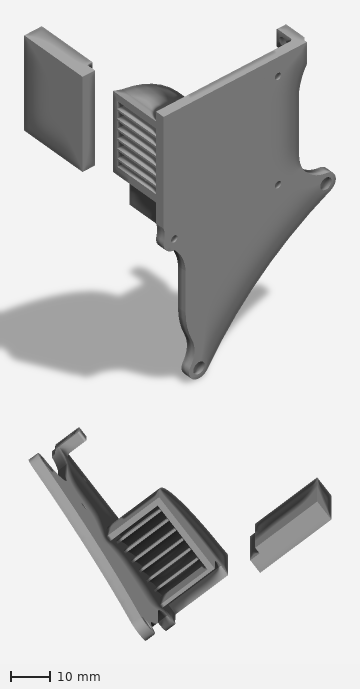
import cadquery as cq
import math


plate_thickness = 3.0
plate_height = 90.5
plate_depth = 49.2
waist_y = 45.8
waist_top_z = 75.9
waist_bulge = (46.95, 80.4)
neck_y = 7.4
neck_bottom_z = 23.5
neck_top_z = 36.9
neck_bulge = (6.4, 41.4)

ear_radius = 3.35
ear_hole_diameter = 3.8
ear_seat_diameter = 4.0
ear_seat_depth = 2.0
rear_ear = (54.8, 41.4)
foot_ear = (11.9, ear_radius)

screw_hole_diameter = 2.2
screw_pitch = 35.0
screw_boss_radius = 3.6
screw_corner = (screw_boss_radius, 49.2)

waist_fillet = 10.4
belly_radius = 105.85
shin_radius = 23.9
ankle_radius = 8.9
relief_top_z = 54.3
relief_mid = (0.4, 51.9)
relief_end_z = 50.1

lug_reach = 6.5
lug_thickness = plate_thickness
lug_height = 6.0
lug_root_fillet = 1.0
lug_end_fillet = 0.6
lug_hole_diameter = 3.0
lug_hole_x = -3.9
lug_step = 0.8
lug_step_x = 1.2
lug_step_height = 9.05

duct_width = 16.9
bend_y = -1.0
bend_z = 56.45
duct_outer_radius = 30.1
duct_inner_radius = 6.6
outer_wall = 1.5
side_wall = 1.6
inner_wall = 1.0
inlet_z = 47.7
outlet_bottom_z = 61.1
outlet_top_z = 87.3
flare_depth = 3.0

vane_count = 6
vane_thickness = 0.6
vane_gap = 2.5
vane_tail = 1.2

block_width = 23.0
block_min_x = -47.0
block_min_y = -4.2
block_thickness = 6.0
block_bottom_z = 59.0
block_height = 30.8
rebate_width = 3.0
rebate_depth = block_min_y + block_thickness


def toward(start, target, distance):
    """Point at a distance from start on the line to target."""
    angle = math.atan2(target[1] - start[1], target[0] - start[0])
    return (start[0] + distance * math.cos(angle), start[1] + distance * math.sin(angle))


def midpoint(a, b):
    return ((a[0] + b[0]) / 2, (a[1] + b[1]) / 2)


def tangent_center(first, first_distance, second, second_distance):
    """Point at the given distances from two points, to the right of the way from first to second."""
    gap = math.dist(first, second)
    turn = math.acos((first_distance**2 + gap**2 - second_distance**2) / (2 * first_distance * gap))
    heading = math.atan2(second[1] - first[1], second[0] - first[0]) - turn
    return (
        first[0] + first_distance * math.cos(heading),
        first[1] + first_distance * math.sin(heading),
    )


def arc_to(profile, center, radius, start, end):
    """Add the shorter arc about center from start, where the profile stands, to end."""
    return profile.threePointArc(toward(center, midpoint(start, end), radius), end)


def bend_point(radius, y):
    """Point above the bend centre on a circle about it."""
    return (y, bend_z + math.sqrt(radius**2 - (y - bend_y) ** 2))


def quarter_mid(radius):
    """Point halfway round the bend on a circle about its centre."""
    half_turn = math.radians(45)
    return (bend_y + radius * math.cos(half_turn), bend_z + radius * math.sin(half_turn))


def prism(profile, x_start, x_end):
    """Closed YZ profile extruded between two X positions."""
    return profile.close().extrude(x_end - x_start).translate((x_start, 0, 0))


def plate_blank():
    lug_bottom = (plate_depth, plate_height - lug_height)
    waist_top = (waist_y, waist_top_z)

    fillet_y = waist_y + waist_fillet
    fillet_rise = math.sqrt((waist_fillet + ear_radius) ** 2 - (fillet_y - rear_ear[0]) ** 2)
    fillet_center = (fillet_y, rear_ear[1] + fillet_rise)
    fillet_start = (waist_y, fillet_center[1])
    fillet_end = toward(fillet_center, rear_ear, waist_fillet)

    belly_reach = belly_radius + ear_radius
    belly_center = tangent_center(foot_ear, belly_reach, rear_ear, belly_reach)
    belly_start = toward(belly_center, rear_ear, belly_radius)
    belly_end = toward(belly_center, foot_ear, belly_radius)

    shin_center = (neck_y + shin_radius, neck_bottom_z)
    ankle_center = tangent_center(
        shin_center, shin_radius + ankle_radius, foot_ear, ear_radius + ankle_radius
    )
    ankle_start = toward(ankle_center, foot_ear, ankle_radius)
    shin_start = toward(ankle_center, shin_center, ankle_radius)
    neck_bottom = (neck_y, neck_bottom_z)
    neck_top = (neck_y, neck_top_z)

    boss_bottom = (screw_corner[0], screw_corner[1] - screw_boss_radius)
    boss_side = toward(screw_corner, (0, relief_end_z), screw_boss_radius)

    profile = cq.Workplane("YZ").moveTo(0, plate_height).lineTo(plate_depth, plate_height)
    profile = profile.lineTo(*lug_bottom).threePointArc(waist_bulge, waist_top)
    profile = profile.lineTo(*fillet_start)
    profile = arc_to(profile, fillet_center, waist_fillet, fillet_start, fillet_end)
    profile = profile.threePointArc((rear_ear[0] + ear_radius, rear_ear[1]), belly_start)
    profile = arc_to(profile, belly_center, belly_radius, belly_start, belly_end)
    profile = profile.threePointArc((foot_ear[0], 0), ankle_start)
    profile = arc_to(profile, ankle_center, ankle_radius, ankle_start, shin_start)
    profile = arc_to(profile, shin_center, shin_radius, shin_start, neck_bottom)
    profile = profile.lineTo(*neck_top).threePointArc(neck_bulge, boss_bottom)
    profile = arc_to(profile, screw_corner, screw_boss_radius, boss_bottom, boss_side)
    profile = profile.threePointArc(relief_mid, (0, relief_top_z))
    return prism(profile, 0, plate_thickness)


def plate_holes():
    y, z = screw_corner
    screws = [(y, z), (y + screw_pitch, z), (y + screw_pitch, z + screw_pitch)]
    plane = cq.Workplane("YZ")
    small = plane.pushPoints(screws).circle(screw_hole_diameter / 2).extrude(plate_thickness)
    ears = plane.pushPoints([rear_ear, foot_ear])
    large = ears.circle(ear_hole_diameter / 2).extrude(plate_thickness)
    seats = ears.circle(ear_seat_diameter / 2).extrude(ear_seat_depth)
    return small.union(large).union(seats)


def lug():
    front_y = plate_depth - lug_thickness
    body = (
        cq.Workplane("XY", origin=(0, 0, plate_height - lug_height))
        .moveTo(-lug_reach, plate_depth)
        .lineTo(-lug_reach, front_y)
        .lineTo(-lug_root_fillet, front_y)
        .radiusArc((0, front_y - lug_root_fillet), lug_root_fillet)
        .lineTo(0, plate_depth)
        .close()
        .extrude(lug_height)
        .edges("<X and |Y")
        .fillet(lug_end_fillet)
    )
    hole = (
        cq.Workplane("XZ", origin=(lug_hole_x, plate_depth, plate_height - lug_height / 2))
        .circle(lug_hole_diameter / 2)
        .extrude(lug_thickness)
    )
    return body.cut(hole)


def lug_setback():
    """Bevelled step cut from the plate edge behind the lug."""
    return (
        cq.Workplane("XY", origin=(0, 0, plate_height - lug_step_height))
        .moveTo(lug_step_x, plate_depth)
        .lineTo(lug_step_x + lug_step, plate_depth - lug_step)
        .lineTo(plate_thickness, plate_depth - lug_step)
        .lineTo(plate_thickness, plate_depth)
        .close()
        .extrude(lug_step_height)
    )


def duct_shell():
    inner_y = bend_y + duct_inner_radius
    outer_y = bend_y + duct_outer_radius
    inner_lip = bend_point(duct_inner_radius, flare_depth)
    outer_lip = bend_point(duct_outer_radius, flare_depth)
    profile = cq.Workplane("YZ").moveTo(inner_y, inlet_z).lineTo(inner_y, bend_z)
    profile = arc_to(profile, (bend_y, bend_z), duct_inner_radius, (inner_y, bend_z), inner_lip)
    profile = profile.lineTo(0, outlet_bottom_z).lineTo(0, outlet_top_z).lineTo(*outer_lip)
    profile = profile.threePointArc(quarter_mid(duct_outer_radius), (outer_y, bend_z))
    profile = profile.lineTo(outer_y, inlet_z)
    return prism(profile, -duct_width, 0)


def bend_band(inner_radius, outer_radius):
    """Band about the bend centre from the straight leg to the outlet, level over its last stretch."""
    inner_end = bend_point(inner_radius, vane_tail)
    outer_end = bend_point(outer_radius, vane_tail)
    profile = cq.Workplane("YZ").moveTo(bend_y + inner_radius, bend_z)
    profile = profile.threePointArc(quarter_mid(inner_radius), inner_end)
    profile = profile.lineTo(0, inner_end[1]).lineTo(0, outer_end[1]).lineTo(*outer_end)
    profile = profile.threePointArc(quarter_mid(outer_radius), (bend_y + outer_radius, bend_z))
    return prism(profile, side_wall - duct_width, 0)


def duct_passage():
    """Air passage from the open lower end to the outlet."""
    inner_radius = duct_inner_radius + inner_wall
    outer_radius = duct_outer_radius - outer_wall
    leg = cq.Workplane("XY").box(
        duct_width - side_wall, outer_radius - inner_radius, bend_z - inlet_z, centered=False
    )
    leg = leg.translate((side_wall - duct_width, bend_y + inner_radius, inlet_z))
    return bend_band(inner_radius, outer_radius).union(leg)


def make_duct_plate():
    body = plate_blank().cut(lug_setback()).cut(plate_holes()).union(lug())
    body = body.union(duct_shell().cut(duct_passage()))
    for index in range(vane_count):
        top_radius = duct_outer_radius - outer_wall - vane_gap - index * (vane_gap + vane_thickness)
        body = body.union(bend_band(top_radius - vane_thickness, top_radius))
    return body


def make_block():
    block = cq.Workplane("XY").box(block_width, block_thickness, block_height, centered=False)
    rebate = cq.Workplane("XY").box(rebate_width, rebate_depth, block_height, centered=False)
    rebate = rebate.translate((block_width - rebate_width, block_thickness - rebate_depth, 0))
    return block.cut(rebate).translate((block_min_x, block_min_y, block_bottom_z))


duct_plate = make_duct_plate()
block = make_block()
result = cq.Compound.makeCompound([duct_plate.val(), block.val()])